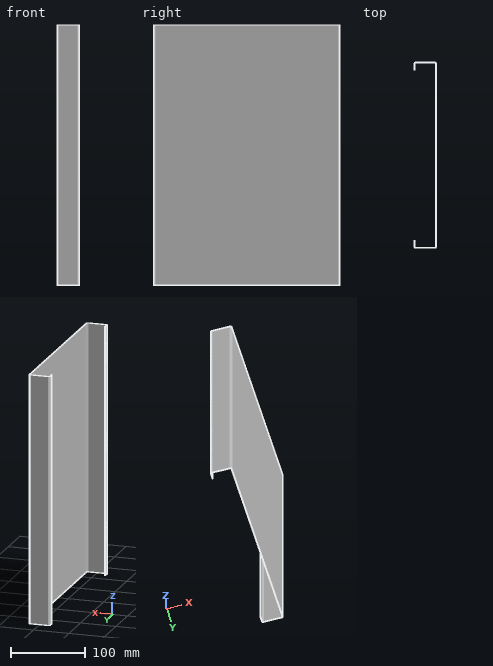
import cadquery as cq

depth = 29.8
width = 250.0
height = 350.0

thickness = 1.0
inner_bend_radius = 1.0
outer_bend_radius = inner_bend_radius + thickness
lip_length = 10.0

half_depth = depth / 2


def channel_blank():
    """Solid bar with the outer bend radius on its four long edges."""
    return cq.Workplane("XY").box(depth, width, height).edges("|Z").fillet(outer_bend_radius)


def channel_cavity():
    """Space inside the bent sheet, rounded to the inner bend radius."""
    return (
        cq.Workplane("XY")
        .box(depth - 2 * thickness, width - 2 * thickness, height)
        .edges("|Z")
        .fillet(inner_bend_radius)
    )


def lip_opening():
    """Gap between the two inward lips on the -X side."""
    opening_width = width - 2 * lip_length
    return cq.Workplane("XY").center(-half_depth, 0).box(2 * outer_bend_radius, opening_width, height)


result = channel_blank().cut(channel_cavity()).cut(lip_opening())